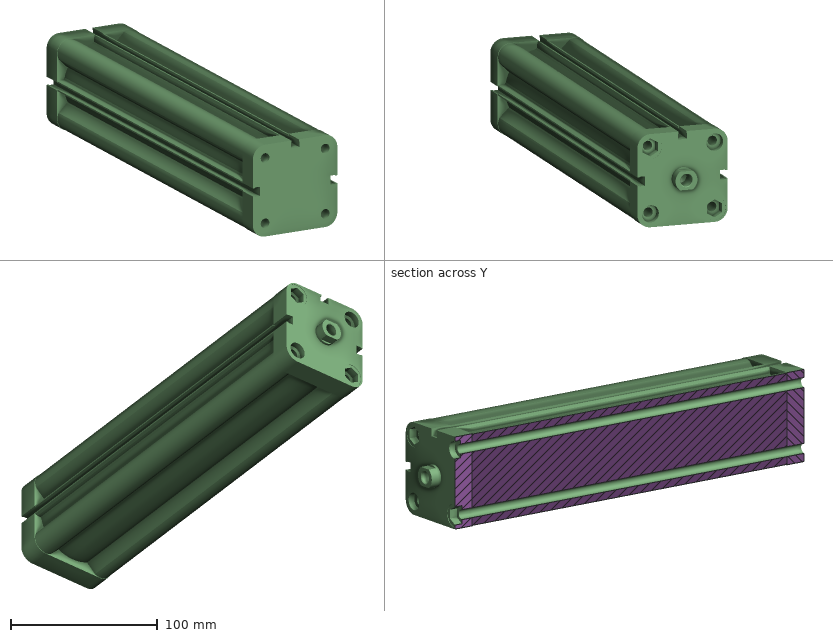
import cadquery as cq
import math


total_length = 304.5
side = 65.5
rod_projection = 8.0
cap_length = 15.0
caps_end = total_length - rod_projection
tube_length = caps_end - 2 * cap_length

corner_radius = 9.5
screw_offset = side / 2 - corner_radius
screw_hole_radius = 3.5
counterbore_radius = 6.0
counterbore_depth = 5.0
hex_across_flats = 11.0
hex_depth = 6.0
spotface_radius = 8.2
spotface_depth = 0.3

cap_slot_mouth = 5.8
cap_lip_thickness = 1.5
slot_width = 6.7
slot_angles = (0, 90, 180)
slot_depth = 5.5

rail_recess = 0.3
rail_mouth = 5.0
rail_lip_thickness = 1.2
rail_top_width = 7.0
rail_width = 8.2
rail_chamfer_depth = 2.0
rail_foot_width = 12.2
rail_foot_height = 1.2
rail_foot_drop = 1.0

barrel_radius = 27.5
barrel_edge = 12.5
lobe_radius = 9.0
lobe_edge = 19.2
flat_edge = 13.0

rod_radius = 8.0
rod_across_flats = 13.0
rod_flat_length = 6.0
thread_hole_radius = 4.3
thread_hole_depth = 12.2
thread_chamfer = 0.45
drill_point_angle = 118.0


def cross_plane(x):
    """Sketch plane across the stroke axis: local x is Y, local y is Z, extruding towards +X."""
    return cq.Workplane("YZ", origin=(x, 0, 0))


def corners(signs):
    """Screw centres in the corners given by (Y sign, Z sign)."""
    return [(y * screw_offset, z * screw_offset) for y, z in signs]


hex_corners = corners([(1, 1), (-1, -1)])
round_corners = corners([(1, -1), (-1, 1)])
all_corners = hex_corners + round_corners


def turned(body, angle):
    """The body rotated about the stroke axis, so that +Y goes towards +Z."""
    return body.rotate((0, 0, 0), (1, 0, 0), angle)


def make_slot(x, length, mouth, lip_thickness):
    """T-shaped slot on the +Y side, narrowed at its mouth by two lips."""
    floor = side / 2 - slot_depth
    inner_depth = slot_depth - lip_thickness
    throat = cross_plane(x).center(floor + slot_depth / 2, 0).rect(slot_depth, mouth).extrude(length)
    inner = cross_plane(x).center(floor + inner_depth / 2, 0).rect(inner_depth, slot_width).extrude(length)
    return throat.union(inner)


def make_cap(x):
    """Square end cap with rounded corners, screw holes and three open sensor slots."""
    cap = cross_plane(x).rect(side, side).extrude(cap_length).edges("|X").fillet(corner_radius)
    cap = cap.cut(cross_plane(x).pushPoints(all_corners).circle(screw_hole_radius).extrude(cap_length))
    slot = make_slot(x, cap_length, cap_slot_mouth, cap_lip_thickness)
    for angle in slot_angles:
        cap = cap.cut(turned(slot, angle))
    return cap


def hexagon_points(center_y, center_z):
    """Hexagon with two corners on the vertical through its centre."""
    radius = hex_across_flats / math.sqrt(3)
    angles = [math.radians(30 + 60 * i) for i in range(6)]
    return [(center_y + radius * math.cos(a), center_z + radius * math.sin(a)) for a in angles]


def make_front_cap():
    """End cap with the rod hole and a recess for each screw."""
    cap = make_cap(0)
    cap = cap.cut(cross_plane(0).circle(rod_radius).extrude(cap_length))
    counterbores = cross_plane(0).pushPoints(round_corners).circle(counterbore_radius)
    cap = cap.cut(counterbores.extrude(counterbore_depth))
    spotfaces = cross_plane(0).pushPoints(hex_corners).circle(spotface_radius)
    cap = cap.cut(spotfaces.extrude(spotface_depth))
    for center in hex_corners:
        cap = cap.cut(cross_plane(0).polyline(hexagon_points(*center)).close().extrude(hex_depth))
    return cap


def tube_outline():
    """Barrel arcs on the four sides, joined by 45-degree flats to the corner lobes."""
    lobe_rise = math.sqrt(lobe_radius**2 - (screw_offset - lobe_edge) ** 2)
    lobe_out = screw_offset + lobe_rise
    lobe_tip = screw_offset + lobe_radius / math.sqrt(2)
    flat_out = lobe_out - (lobe_edge - flat_edge)
    barrel_out = math.sqrt(barrel_radius**2 - barrel_edge**2)

    def at(point, turn):
        """The point after a number of quarter turns."""
        y, z = point
        for _ in range(turn):
            y, z = -z, y
        return (y, z)

    outline = cross_plane(cap_length).moveTo(barrel_out, -barrel_edge)
    for turn in range(4):
        outline = outline.threePointArc(at((barrel_radius, 0), turn), at((barrel_out, barrel_edge), turn))
        outline = outline.lineTo(*at((flat_out, flat_edge), turn))
        outline = outline.lineTo(*at((lobe_out, lobe_edge), turn))
        outline = outline.threePointArc(at((lobe_tip, lobe_tip), turn), at((lobe_edge, lobe_out), turn))
        outline = outline.lineTo(*at((flat_edge, flat_out), turn))
        if turn < 3:
            outline = outline.lineTo(*at((barrel_edge, barrel_out), turn))
    return outline.close()


def make_rail_block():
    """The block on the +Y side that the slot divides into two hooked rails."""
    top = side / 2 - rail_recess
    foot = barrel_radius - rail_foot_drop
    half_outline = [
        (foot - slot_depth, rail_foot_width / 2),
        (foot, rail_foot_width / 2),
        (foot + rail_foot_height, rail_width / 2),
        (top - rail_chamfer_depth, rail_width / 2),
        (top, rail_top_width / 2),
    ]
    mirrored_half = [(y, -z) for y, z in reversed(half_outline)]
    return cross_plane(cap_length).polyline(half_outline + mirrored_half).close().extrude(tube_length)


def make_tube():
    """Profile tube between the caps, with slot rails on three sides and the four screw holes."""
    tube = tube_outline().extrude(tube_length)
    rail_block = make_rail_block()
    slot = make_slot(cap_length, tube_length, rail_mouth, rail_lip_thickness)
    for angle in slot_angles:
        tube = tube.union(turned(rail_block, angle)).cut(turned(slot, angle))
    screw_holes = cross_plane(cap_length).pushPoints(all_corners).circle(screw_hole_radius)
    return tube.cut(screw_holes.extrude(tube_length))


def make_piston_rod():
    """Round rod through the front cap, with wrench flats and a threaded hole in its tip."""
    tip = -rod_projection
    rod = cross_plane(tip).circle(rod_radius).extrude(rod_projection + cap_length)
    flats = cross_plane(tip).rect(2 * rod_radius, rod_across_flats).extrude(rod_flat_length)
    shank = cross_plane(tip + rod_flat_length).circle(rod_radius).extrude(rod_projection + cap_length)
    rod = rod.intersect(flats.union(shank))
    point_length = thread_hole_radius / math.tan(math.radians(drill_point_angle / 2))
    hole_profile = [
        (tip, 0),
        (tip, thread_hole_radius + thread_chamfer),
        (tip + thread_chamfer, thread_hole_radius),
        (tip + thread_hole_depth, thread_hole_radius),
        (tip + thread_hole_depth + point_length, 0),
    ]
    hole = cq.Workplane("XY").polyline(hole_profile).close().revolve(360, (0, 0, 0), (1, 0, 0))
    return rod.cut(hole)


front_cap = make_front_cap()
rear_cap = make_cap(caps_end - cap_length)
tube = make_tube()
piston_rod = make_piston_rod()

result = cq.Compound.makeCompound([front_cap.val(), rear_cap.val(), tube.val(), piston_rod.val()])